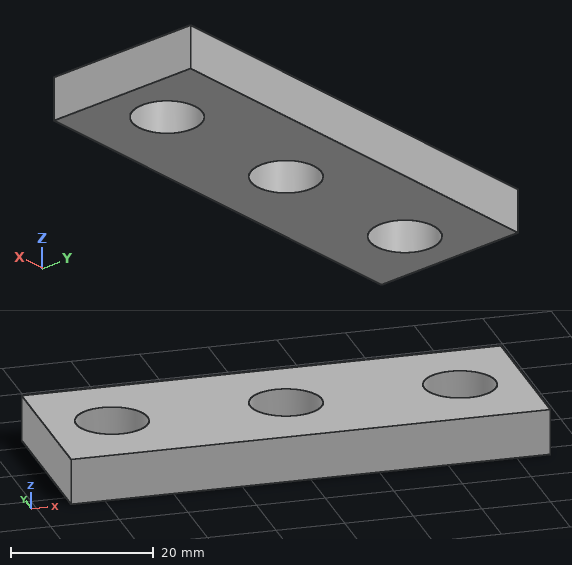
import cadquery as cq

length = 69.85
width = 25.4
thickness = 6.8

hole_diameter = 10.4
hole_count = 3
hole_pitch = 25.35

plate = cq.Workplane("XY").box(length, width, thickness)

result = (
    plate.faces(">Z")
    .workplane()
    .rarray(hole_pitch, 0.7, hole_count, 1)
    .hole(hole_diameter)
)